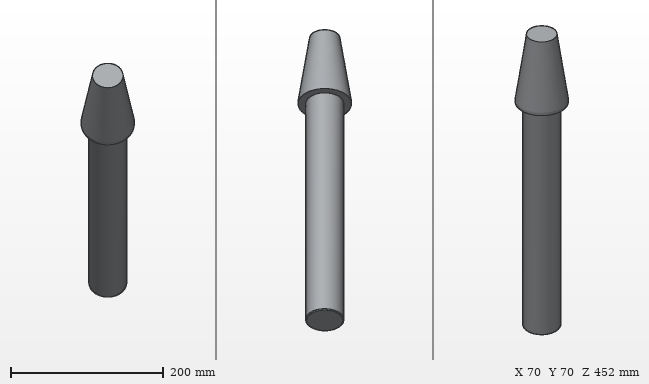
import cadquery as cq

total_length = 452.0
head_diameter = 70.0
tip_diameter = 40.0
shank_diameter = 50.0

head_length = 105.0
rim_height = 4.0
end_chamfer = 1.5

shank_length = total_length - head_length
rim_top = shank_length + rim_height
head_radius = head_diameter / 2
tip_radius = tip_diameter / 2
shank_radius = shank_diameter / 2

profile = (
    cq.Workplane("XZ")
    .moveTo(0, 0)
    .lineTo(shank_radius - end_chamfer, 0)
    .lineTo(shank_radius, end_chamfer)
    .lineTo(shank_radius, shank_length)
    .lineTo(head_radius, shank_length)
    .lineTo(head_radius, rim_top)
    .lineTo(tip_radius, total_length)
    .lineTo(0, total_length)
    .close()
)

result = profile.revolve(360, (0, 0, 0), (0, 1, 0))